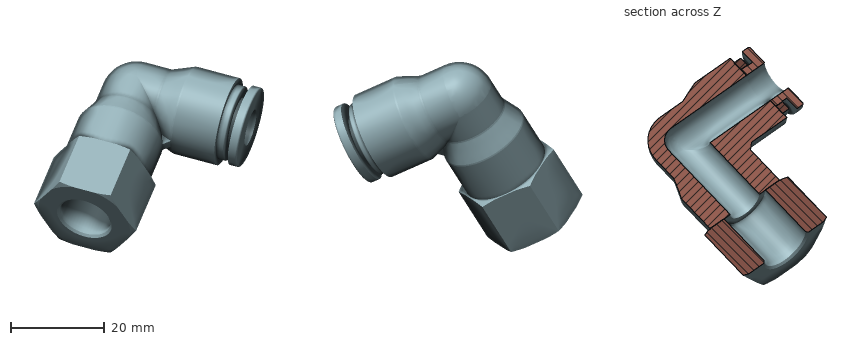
import cadquery as cq
import math

throat_diameter = 15.4
body_diameter = 19.3
cone_start = 6.0
cone_end = 11.0
arm_length = 20.8
cone_blend_radius = 1.0
bore_diameter = 8
web_thickness = 2.0

hex_across_flats = 20
hex_length = 14.0
hex_face_diameter = 20.62
hex_chamfer_length = 0.45
socket_diameter = 11.42
socket_chamfer = 0.5

ring_diameter = 16.5
ring_length = 1.8
ring_edge_radius = 0.3
neck_diameter = 11.7
neck_gap = 1.2
flange_thickness = 2.0
flange_size_y = 18.6
flange_size_z = 16
flange_edge_radius = 0.35

hex_corner_radius = hex_across_flats / math.sqrt(3)


def x_cylinder(diameter, start, length):
    """Cylinder centred on the X axis."""
    return cq.Workplane("YZ", origin=(start, 0, 0)).circle(diameter / 2).extrude(length)


def circles_at_x(x):
    """Selector for the circular edges whose centre lies on the X axis at x."""
    margin = 0.05
    return cq.selectors.BoxSelector((x - margin, -margin, -margin), (x + margin, margin, margin)) & (
        cq.selectors.TypeSelector("CIRCLE")
    )


def x_arm():
    """Outer shape of one housing arm: tube, cone and full-size body, with the cone edges blended."""
    throat_radius = throat_diameter / 2
    body_radius = body_diameter / 2
    arm = (
        cq.Workplane("XY")
        .moveTo(0, 0)
        .lineTo(0, throat_radius)
        .lineTo(cone_start, throat_radius)
        .lineTo(cone_end, body_radius)
        .lineTo(arm_length, body_radius)
        .lineTo(arm_length, 0)
        .close()
        .revolve(360, (0, 0, 0), (1, 0, 0))
    )
    for x in (cone_start, cone_end):
        arm = arm.edges(circles_at_x(x)).fillet(cone_blend_radius)
    return arm


def turned_to_minus_y(shape):
    """Copy of an X-axis shape turned to point along -Y."""
    return shape.rotate((0, 0, 0), (0, 0, 1), -90)


def corner_web():
    """Flat triangular web that bridges the notch between the two cones."""
    return (
        cq.Workplane("XY", origin=(0, 0, -web_thickness / 2))
        .polyline([(0, 0), (cone_end, -body_diameter / 2), (body_diameter / 2, -cone_end)])
        .close()
        .extrude(web_thickness)
    )


def make_housing():
    arm = x_arm()
    bore = x_cylinder(bore_diameter, 0, arm_length)
    outside = cq.Workplane("XY").sphere(throat_diameter / 2).union(arm).union(turned_to_minus_y(arm))
    passage = cq.Workplane("XY").sphere(bore_diameter / 2).union(bore).union(turned_to_minus_y(bore))
    return outside.union(corner_web()).cut(passage)


def make_hex_nut():
    """Hexagon at the end of the -Y arm, with corner chamfers at both ends and a chamfered socket."""
    end = arm_length + hex_length
    prism = (
        cq.Workplane("XZ", origin=(0, -arm_length, 0))
        .polygon(6, 2 * hex_corner_radius)
        .extrude(hex_length)
    )
    corner_trim = (
        cq.Workplane("XY")
        .moveTo(0, -arm_length)
        .lineTo(hex_face_diameter / 2, -arm_length)
        .lineTo(hex_corner_radius, -arm_length - hex_chamfer_length)
        .lineTo(hex_corner_radius, -end + hex_chamfer_length)
        .lineTo(hex_face_diameter / 2, -end)
        .lineTo(0, -end)
        .close()
        .revolve(360, (0, 0, 0), (0, 1, 0))
    )
    nut = prism.intersect(corner_trim)
    nut = nut.faces("<Y").workplane(centerOption="CenterOfBoundBox").hole(socket_diameter)
    return nut.faces("<Y").edges("%CIRCLE").edges(cq.selectors.RadiusNthSelector(0)).chamfer(socket_chamfer)


def make_retaining_ring():
    """Ring on the end face of the +X arm, open for the collar neck."""
    ring = x_cylinder(ring_diameter, arm_length, ring_length).faces(">X").edges().fillet(ring_edge_radius)
    return ring.cut(x_cylinder(neck_diameter, arm_length, ring_length))


def make_release_collar():
    """Neck that passes through the ring, with an elliptical flange to press on."""
    neck_length = ring_length + neck_gap
    flange_start = arm_length + neck_length
    flange = (
        cq.Workplane("YZ", origin=(flange_start, 0, 0))
        .ellipse(flange_size_y / 2, flange_size_z / 2)
        .extrude(flange_thickness)
        .faces(">X")
        .edges()
        .fillet(flange_edge_radius)
    )
    collar = x_cylinder(neck_diameter, arm_length, neck_length).union(flange)
    return collar.cut(x_cylinder(bore_diameter, arm_length, neck_length + flange_thickness))


housing = make_housing()
hex_nut = make_hex_nut()
retaining_ring = make_retaining_ring()
release_collar = make_release_collar()

result = cq.Compound.makeCompound(
    [housing.val(), hex_nut.val(), retaining_ring.val(), release_collar.val()]
)